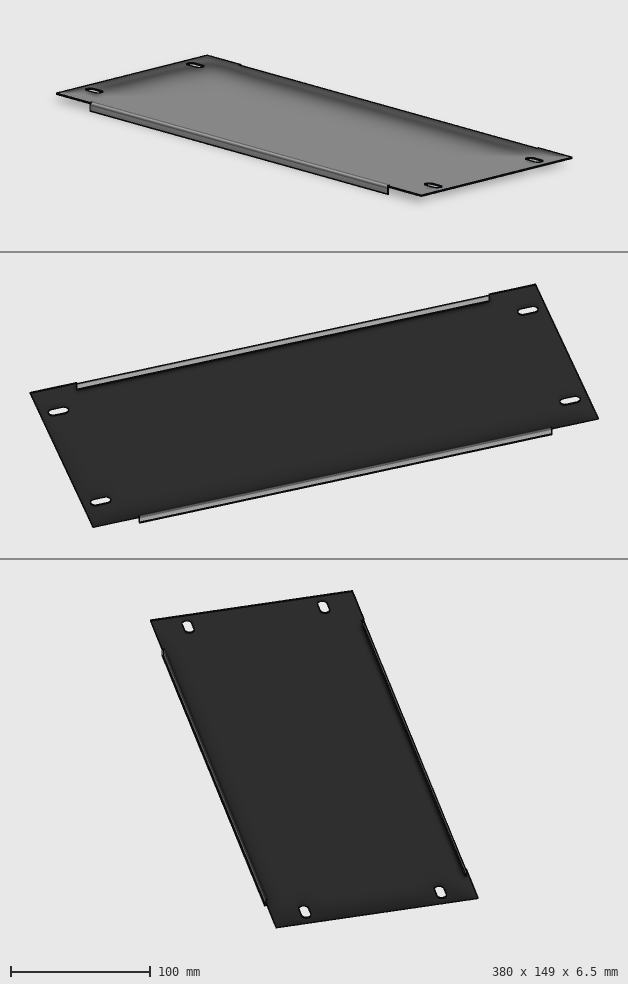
import cadquery as cq

panel_length = 380.0
panel_width = 149.0
panel_height = 6.5
sheet_thickness = 1.0

flange_length = 310.0
bend_inner_radius = 1.0
bend_outer_radius = bend_inner_radius + sheet_thickness

slot_length = 15.0
slot_width = 7.0
slot_spacing_x = 353.0
slot_spacing_y = 100.0



def make_plate():
    """Flat rectangular sheet, top face at Z = 0."""
    return cq.Workplane("XY").rect(panel_length, panel_width).extrude(-sheet_thickness)


def make_folded_channel():
    """Middle stretch of the panel with a rounded fold and flange on both long edges."""
    inner_width = panel_width - 2 * sheet_thickness
    outer = (
        cq.Workplane("XY")
        .rect(flange_length, panel_width)
        .extrude(-panel_height)
        .edges("|X and >Z")
        .fillet(bend_outer_radius)
    )
    inner = (
        cq.Workplane("XY")
        .workplane(offset=-sheet_thickness)
        .rect(flange_length, inner_width)
        .extrude(-panel_height)
        .edges("|X and >Z")
        .fillet(bend_inner_radius)
    )
    return outer.cut(inner)


def make_fold_clearance():
    """Strips of the flat sheet that the folds replace."""
    strip_y = (panel_width - bend_outer_radius) / 2
    return (
        cq.Workplane("XY")
        .pushPoints([(0, -strip_y), (0, strip_y)])
        .rect(flange_length, bend_outer_radius)
        .extrude(-sheet_thickness)
    )


def make_slots():
    """Four round-ended slots through the sheet, one near each corner."""
    return (
        cq.Workplane("XY")
        .rect(slot_spacing_x, slot_spacing_y, forConstruction=True)
        .vertices()
        .slot2D(slot_length, slot_width)
        .extrude(-sheet_thickness)
    )


flat_sheet = make_plate().cut(make_fold_clearance())
result = flat_sheet.union(make_folded_channel()).cut(make_slots())